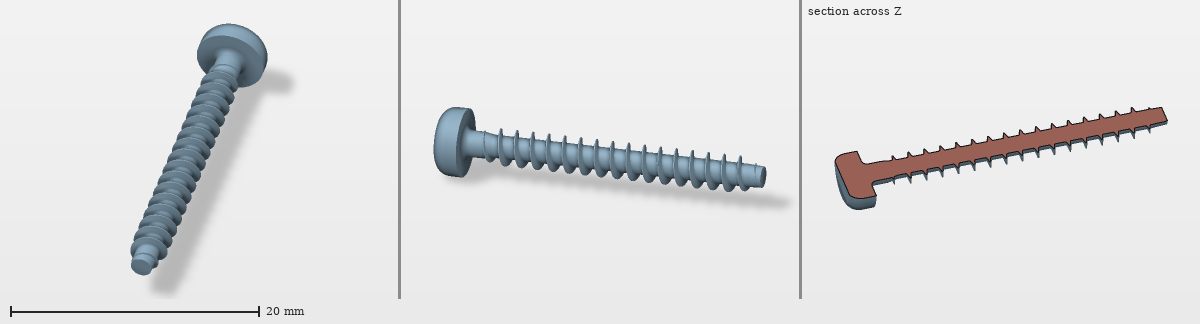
import cadquery as cq
import math


TOTAL_LENGTH = 27.1
HEAD_DIAMETER = 5.6
HEAD_RADIUS = HEAD_DIAMETER / 2
HEAD_HEIGHT = 2.1
HEAD_RIM_HEIGHT = 1.0
HEAD_TOP_RADIUS = 2.1

SHANK_RADIUS = 1.08
NECK_FILLET = 0.45
SHANK_LENGTH = 1.55
SHOULDER_LENGTH = 0.8
CORE_DIAMETER = 1.87
CORE_RADIUS = CORE_DIAMETER / 2
TIP_RADIUS = 0.87
TIP_TAPER_LENGTH = 1.35
BODY_LENGTH = TOTAL_LENGTH - HEAD_HEIGHT

FULL_TURNS = 15
FULL_THREAD_LENGTH = 20.1
PITCH = FULL_THREAD_LENGTH / FULL_TURNS
POINTS_PER_TURN = 12
FULL_THREAD_START = 2.9

CREST_RADIUS = 1.52
CREST_WIDTH = 0.08
FOOT_RADIUS = 1.03
FOOT_WIDTH = 0.35
ROOT_RADIUS = 0.68
ROOT_WIDTH = 0.7
FULL_SECTION = [
    (ROOT_RADIUS, -ROOT_WIDTH / 2),
    (FOOT_RADIUS, -FOOT_WIDTH / 2),
    (CREST_RADIUS, -CREST_WIDTH / 2),
    (CREST_RADIUS, CREST_WIDTH / 2),
    (FOOT_RADIUS, FOOT_WIDTH / 2),
    (ROOT_RADIUS, ROOT_WIDTH / 2),
]

FADE_IN_TURNS = 1.4
FADE_OUT_TURNS = 1.4
FADE_DEPTH = 0.03
FADE_IN_CREST = SHANK_RADIUS - FADE_DEPTH
FADE_OUT_CREST = TIP_RADIUS - FADE_DEPTH


def make_body():
    """Turned solid: tapered tip, core, shank, neck fillet and head with a dome tangent to its rim."""
    return (
        cq.Workplane("XY")
        .moveTo(0, -BODY_LENGTH)
        .lineTo(TIP_RADIUS, -BODY_LENGTH)
        .lineTo(CORE_RADIUS, -BODY_LENGTH + TIP_TAPER_LENGTH)
        .lineTo(CORE_RADIUS, -SHANK_LENGTH - SHOULDER_LENGTH)
        .lineTo(SHANK_RADIUS, -SHANK_LENGTH)
        .lineTo(SHANK_RADIUS, -NECK_FILLET)
        .radiusArc((SHANK_RADIUS + NECK_FILLET, 0), NECK_FILLET)
        .lineTo(HEAD_RADIUS, 0)
        .lineTo(HEAD_RADIUS, HEAD_RIM_HEIGHT)
        .tangentArcPoint((HEAD_TOP_RADIUS, HEAD_HEIGHT), relative=False)
        .lineTo(0, HEAD_HEIGHT)
        .close()
        .revolve(360, (0, 0, 0), (0, 1, 0))
    )


def faded_section(crest_radius):
    """Full section shrunk toward the middle of its root line until the crest is at crest_radius."""
    ratio = (crest_radius - ROOT_RADIUS) / (CREST_RADIUS - ROOT_RADIUS)
    section = []
    for radius, offset in FULL_SECTION:
        section.append((ROOT_RADIUS + (radius - ROOT_RADIUS) * ratio, offset * ratio))
    return section


def corner_helix(start_corner, end_corner, first_turn, turns):
    """Helix followed by one section corner, its radius and offset changing evenly along the way."""
    start_radius, start_offset = start_corner
    end_radius, end_offset = end_corner
    steps = math.ceil(turns * POINTS_PER_TURN)
    progress_values = [step / steps for step in range(steps + 1)]
    points = []
    for progress in progress_values:
        turn = first_turn + turns * progress
        angle = 2 * math.pi * turn
        radius = start_radius + (end_radius - start_radius) * progress
        offset = start_offset + (end_offset - start_offset) * progress
        depth = FULL_THREAD_START + turn * PITCH + offset
        points.append(cq.Vector(-radius * math.sin(angle), -depth, radius * math.cos(angle)))
    return cq.Edge.makeSpline(points, parameters=progress_values)


def thread_segment(start_section, end_section, first_turn, turns):
    """Solid thread ridge between two sections; turn 0 is the first full crest on the +Z side."""
    corners = zip(start_section, end_section)
    edges = [corner_helix(start, end, first_turn, turns) for start, end in corners]
    faces = [cq.Face.makeRuledSurface(edges[i - 1], edges[i]) for i in range(len(edges))]
    for end_point in (cq.Edge.startPoint, cq.Edge.endPoint):
        outline = cq.Wire.makePolygon([end_point(edge) for edge in edges], close=True)
        faces.append(cq.Face.makeFromWires(outline))
    return cq.Workplane(cq.Solid.makeSolid(cq.Shell.makeShell(faces)))


fade_in = thread_segment(faded_section(FADE_IN_CREST), FULL_SECTION, -FADE_IN_TURNS, FADE_IN_TURNS)
full_thread = thread_segment(FULL_SECTION, FULL_SECTION, 0, FULL_TURNS)
fade_out = thread_segment(FULL_SECTION, faded_section(FADE_OUT_CREST), FULL_TURNS, FADE_OUT_TURNS)

result = make_body().union(full_thread).union(fade_in).union(fade_out)